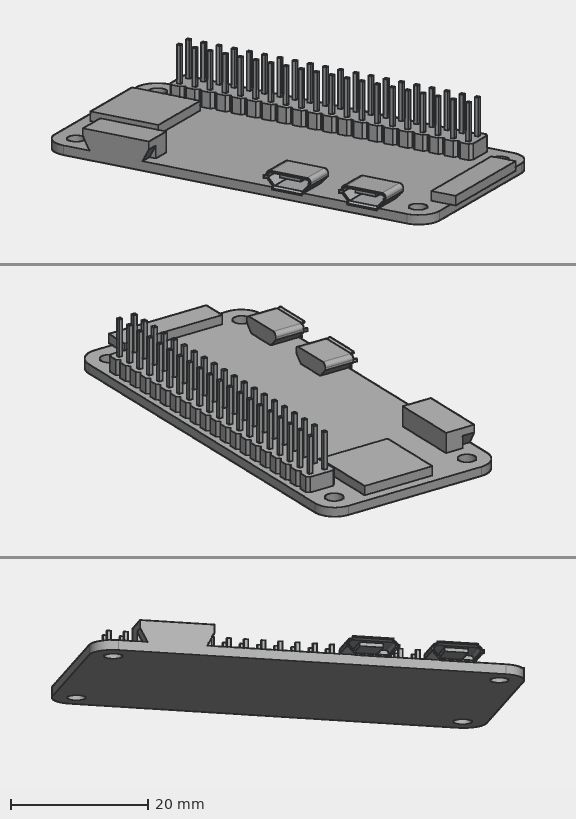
import cadquery as cq
import math

board_length = 65.0
board_depth = 30.5
board_thickness = 1.5
corner_radius = 3.5
hole_inset_x = 3.6
hole_inset_y = 3.5
hole_diameter = 2.75

pin_columns = 20
pin_rows = 2
pin_pitch = 2.57
pin_width = 0.6
pin_top = 10.0
header_depth = 5.0
header_height = 2.5
header_chamfer = 0.47
header_groove_floor = 0.2
header_center_x = board_length / 2
header_inset_y = 3.57
header_center_y = board_depth - header_inset_y

card_x, card_y = 1.6, 11.0
card_length, card_depth = 11.5, 12.0
block_height = 1.5
ribbon_overhang = 0.85
ribbon_length, ribbon_depth = 4.1, 17.3
ribbon_y = 6.7

connector_depth = 5.0
video_x = 6.8
video_length = 11.15
video_height = 3.25
corner_cut_width = 1.1
corner_cut_height = 2.0
corner_cut_depth = 2.0

usb_centers_x = (41.55, 54.25)
usb_width = 7.5
usb_floor_width = 5.0
usb_height = 2.5
usb_wall = 0.28
usb_top_radius = 0.7
usb_shoulder_height = 1.35
usb_back_wall = 0.5
lip_reach = 0.6
lip_angle = math.radians(20)
tongue_width = 3.5
tongue_bottom, tongue_top = 1.5, 2.1
tongue_recess = 0.5


def block(x, y, length, depth, height):
    """Rectangular block standing on the board, given its front left corner."""
    return (
        cq.Workplane("XY")
        .box(length, depth, height, centered=False)
        .translate((x, y, board_thickness))
    )


def make_board():
    center_x = board_length / 2
    center_y = board_depth / 2
    board = (
        cq.Workplane("XY")
        .center(center_x, center_y)
        .rect(board_length, board_depth)
        .extrude(board_thickness)
        .edges("|Z")
        .fillet(corner_radius)
    )
    return (
        board.faces(">Z")
        .workplane(origin=(center_x, center_y, board_thickness))
        .rect(board_length - 2 * hole_inset_x, board_depth - 2 * hole_inset_y, forConstruction=True)
        .vertices()
        .hole(hole_diameter)
    )


def make_header():
    """Chamfered cells, one for each pair of pins, joined by a spine between the side grooves."""
    header_base = cq.Workplane("XY").workplane(offset=board_thickness)
    cell = (
        header_base.rect(pin_pitch - header_groove_floor, header_depth)
        .extrude(header_height)
        .edges("|Z")
        .chamfer(header_chamfer)
    )
    pin_pair = header_base.rarray(pin_pitch, pin_pitch, 1, pin_rows).rect(pin_width, pin_width)
    column = cell.union(pin_pair.extrude(pin_top - board_thickness))
    spine_length = (pin_columns - 1) * pin_pitch
    header = (
        header_base.center(header_center_x, header_center_y)
        .rect(spine_length, header_depth - 2 * header_chamfer)
        .extrude(header_height)
    )
    first_x = header_center_x - spine_length / 2
    for index in range(pin_columns):
        header = header.union(column.translate((first_x + index * pin_pitch, header_center_y, 0)))
    return header


def make_video_connector():
    body = block(video_x, 0, video_length, connector_depth, video_height)
    for corner_x, inward in ((video_x, 1), (video_x + video_length, -1)):
        corner_cut = (
            cq.Workplane("XZ", origin=(corner_x, 0, board_thickness))
            .moveTo(0, 0)
            .lineTo(inward * corner_cut_width, 0)
            .lineTo(0, corner_cut_height)
            .close()
            .extrude(-corner_cut_depth)
        )
        body = body.cut(corner_cut)
    return body


def usb_outline():
    """Shell outline, centred on X and standing on the board at the front edge."""
    half_width = usb_width / 2
    half_floor = usb_floor_width / 2
    half_top = half_width - usb_top_radius
    arc_bottom = usb_height - usb_top_radius
    return (
        cq.Workplane("XZ", origin=(0, 0, board_thickness))
        .moveTo(-half_floor, 0)
        .lineTo(half_floor, 0)
        .lineTo(half_width, usb_shoulder_height)
        .lineTo(half_width, arc_bottom)
        .radiusArc((half_top, usb_height), -usb_top_radius)
        .lineTo(-half_top, usb_height)
        .radiusArc((-half_width, arc_bottom), -usb_top_radius)
        .lineTo(-half_width, usb_shoulder_height)
        .close()
    )


def make_lip(x, height, outward, width):
    """Lip flaring from the middle of one flat shell wall; outward is the wall's (X, Z) normal."""
    spread = lip_reach * math.tan(lip_angle)
    tip_outer_reach = lip_reach - usb_wall * math.sin(lip_angle)
    tip_outer_spread = spread - usb_wall + usb_wall * math.cos(lip_angle)
    normal = cq.Vector(outward[0], 0, outward[1])
    forward = cq.Vector(0, -1, 0)
    side = cq.Plane(
        origin=(x, 0, board_thickness + height),
        xDir=normal,
        normal=normal.cross(forward),
    )
    return (
        cq.Workplane(side)
        .moveTo(-usb_wall, 0)
        .lineTo(0, 0)
        .lineTo(tip_outer_spread, tip_outer_reach)
        .lineTo(spread - usb_wall, lip_reach)
        .close()
        .extrude(width / 2, both=True)
    )


def make_usb_socket():
    shell = usb_outline().extrude(-connector_depth)
    cavity = usb_outline().offset2D(-usb_wall).extrude(-(connector_depth - usb_back_wall))
    tongue = block(
        -tongue_width / 2,
        tongue_recess,
        tongue_width,
        connector_depth - tongue_recess,
        tongue_top - tongue_bottom,
    ).translate((0, 0, tongue_bottom))
    socket = shell.cut(cavity).union(tongue)

    upright_top = usb_height - usb_top_radius
    upright_width = upright_top - usb_shoulder_height
    upright_middle = (upright_top + usb_shoulder_height) / 2
    socket = socket.union(make_lip(0, 0, (0, -1), usb_floor_width))
    socket = socket.union(make_lip(0, usb_height, (0, 1), usb_width - 2 * usb_top_radius))
    for direction in (-1, 1):
        socket = socket.union(
            make_lip(direction * usb_width / 2, upright_middle, (direction, 0), upright_width)
        )
    return socket


ribbon_x = board_length + ribbon_overhang - ribbon_length

result = make_board()
result = result.union(make_header())
result = result.union(block(card_x, card_y, card_length, card_depth, block_height))
result = result.union(block(ribbon_x, ribbon_y, ribbon_length, ribbon_depth, block_height))
result = result.union(make_video_connector())
usb_socket = make_usb_socket()
for usb_center_x in usb_centers_x:
    result = result.union(usb_socket.translate((usb_center_x, 0, 0)))